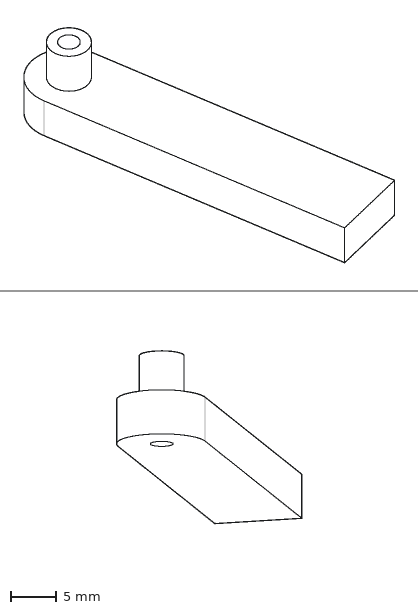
import cadquery as cq

arm_length = 45.0
arm_width = 10.0
arm_thickness = 5.0
end_radius = arm_width / 2
straight_length = arm_length - end_radius

boss_diameter = 5.0
boss_height = 5.0
bore_diameter = 2.5
overall_height = arm_thickness + boss_height


def make_arm():
    """Bar with its round end centred on the Z axis and its square end at +X."""
    return (
        cq.Workplane("XY")
        .moveTo(0, -end_radius)
        .lineTo(straight_length, -end_radius)
        .lineTo(straight_length, end_radius)
        .lineTo(0, end_radius)
        .threePointArc((-end_radius, 0), (0, -end_radius))
        .close()
        .extrude(arm_thickness)
    )


def make_boss():
    """Cylinder rising from the top face of the arm."""
    return cq.Workplane("XY", origin=(0, 0, arm_thickness)).circle(boss_diameter / 2).extrude(boss_height)


def make_bore():
    """Through bore along the pivot axis, from the boss top to the arm underside."""
    return cq.Workplane("XY").circle(bore_diameter / 2).extrude(overall_height)


result = make_arm().union(make_boss()).cut(make_bore())